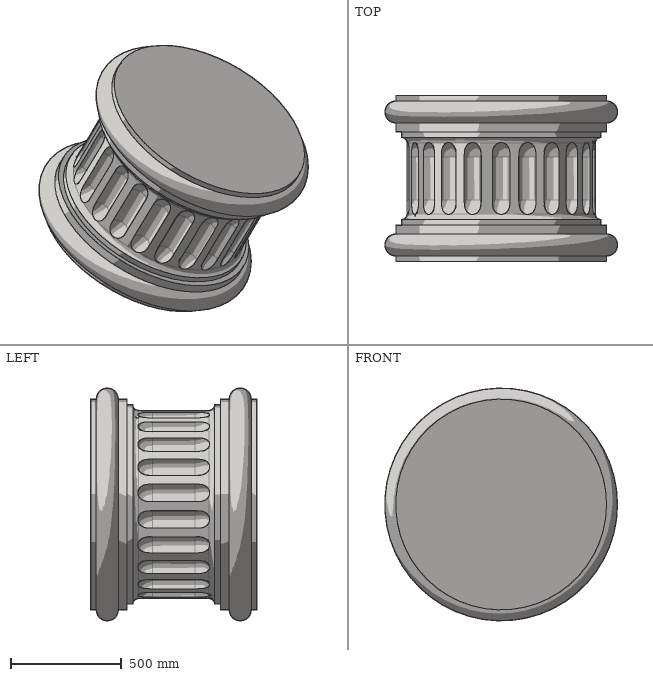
import cadquery as cq
import math

outer_radius = 525.0
length = 750.0
rim_width = 25.0
torus_width = 100.0
band_width = 40.0
step_width = 25.0
cove_radius = 25.0

torus_radius = torus_width / 2
drum_radius = outer_radius - torus_radius
step_radius = drum_radius - step_width
waist_radius = step_radius - cove_radius
half_length = length / 2
torus_outer_y = half_length - rim_width
torus_inner_y = torus_outer_y - torus_width
band_inner_y = torus_inner_y - band_width
step_inner_y = band_inner_y - step_width
waist_half_length = step_inner_y - cove_radius

flute_count = 22
flute_pitch_angle = 16.3
flute_radius = 40.0
straight_half_length = 97.0
end_pivot_height = 34.0


def make_half_drum():
    """Revolve the moulded profile of the +Y half about the Y axis."""
    torus_middle_y = torus_outer_y - torus_radius
    cove_offset = cove_radius * (1 - math.cos(math.radians(45)))
    profile = (
        cq.Workplane("XY")
        .moveTo(0, 0)
        .lineTo(waist_radius, 0)
        .lineTo(waist_radius, waist_half_length)
        .threePointArc(
            (waist_radius + cove_offset, step_inner_y - cove_offset),
            (step_radius, step_inner_y),
        )
        .lineTo(step_radius, band_inner_y)
        .lineTo(drum_radius, band_inner_y)
        .lineTo(drum_radius, torus_inner_y)
        .threePointArc((outer_radius, torus_middle_y), (drum_radius, torus_outer_y))
        .lineTo(drum_radius, half_length)
        .lineTo(0, half_length)
        .close()
    )
    return profile.revolve(360, (0, 0, 0), (0, 1, 0))


def make_flute_cutter():
    """Round bar along Y whose ends curl outwards about an axis parallel to X."""
    section = cq.Workplane("XZ").circle(flute_radius)
    bar = section.extrude(straight_half_length, both=True)
    lower_half = (
        cq.Workplane("XZ", origin=(0, straight_half_length, 0))
        .moveTo(-flute_radius, end_pivot_height)
        .lineTo(-flute_radius, 0)
        .threePointArc((0, -flute_radius), (flute_radius, 0))
        .lineTo(flute_radius, end_pivot_height)
        .close()
    )
    curled_end = lower_half.revolve(90, (0, end_pivot_height, 0), (1, end_pivot_height, 0))
    return bar.union(curled_end).union(curled_end.mirror("XZ"))


half_drum = make_half_drum()
drum = half_drum.union(half_drum.mirror("XZ"))

flute_cutter = make_flute_cutter().translate((0, 0, waist_radius))
for index in range(flute_count):
    drum = drum.cut(flute_cutter.rotate((0, 0, 0), (0, 1, 0), index * flute_pitch_angle))

result = drum